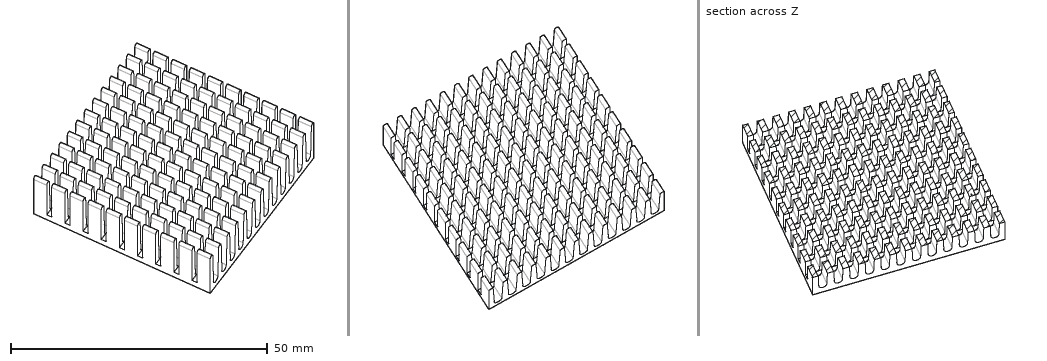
import cadquery as cq
import math

side = 40.0
height = 11.0
base_thickness = 1.5

fin_count = 13
tip_radius = 0.5
taper = math.radians(2)

pin_count = 10
pin_length = 3.0

fin_pitch = (side - 2 * tip_radius) / (fin_count - 1)
first_fin_y = tip_radius - side / 2
tip_center_z = height - tip_radius

valley_half_top = fin_pitch / 2 - tip_radius / math.cos(taper)

valley_half_at_base = valley_half_top - (tip_center_z - base_thickness) * math.tan(taper)
valley_radius = valley_half_at_base * math.cos(taper) / (1 - math.sin(taper))
valley_center_z = base_thickness + valley_radius


def fin_profile():
    """Closed YZ outline of the base with all its fins, before the cross slots."""
    wall_y = math.cos(taper)
    wall_z = math.sin(taper)
    outline = cq.Workplane("YZ").moveTo(-side / 2, 0).lineTo(-side / 2, tip_center_z)

    for index in range(fin_count):
        fin_y = first_fin_y + index * fin_pitch
        tip_top = (fin_y, height)
        if index == fin_count - 1:
            outline = outline.threePointArc(tip_top, (side / 2, tip_center_z))
            break

        tip_end = (fin_y + tip_radius * wall_y, tip_center_z + tip_radius * wall_z)
        outline = outline.threePointArc(tip_top, tip_end)

        valley_y = fin_y + fin_pitch / 2
        floor_half = valley_radius * wall_y
        floor_z = valley_center_z - valley_radius * wall_z
        outline = (
            outline.lineTo(valley_y - floor_half, floor_z)
            .threePointArc((valley_y, base_thickness), (valley_y + floor_half, floor_z))
            .lineTo(fin_y + fin_pitch - tip_radius * wall_y, tip_end[1])
        )

    return outline.lineTo(side / 2, 0).close()


def cross_slots():
    """Square-bottomed slots along Y that split every fin into pins."""
    slot_count = pin_count - 1
    slot_width = (side - pin_count * pin_length) / slot_count
    slot_pitch = pin_length + slot_width
    slot_depth = height - base_thickness
    return (
        cq.Workplane("XY", origin=(0, 0, base_thickness))
        .rarray(slot_pitch, side, slot_count, 1)
        .rect(slot_width, side)
        .extrude(slot_depth)
    )


finned_block = fin_profile().extrude(side / 2, both=True)
result = finned_block.cut(cross_slots())